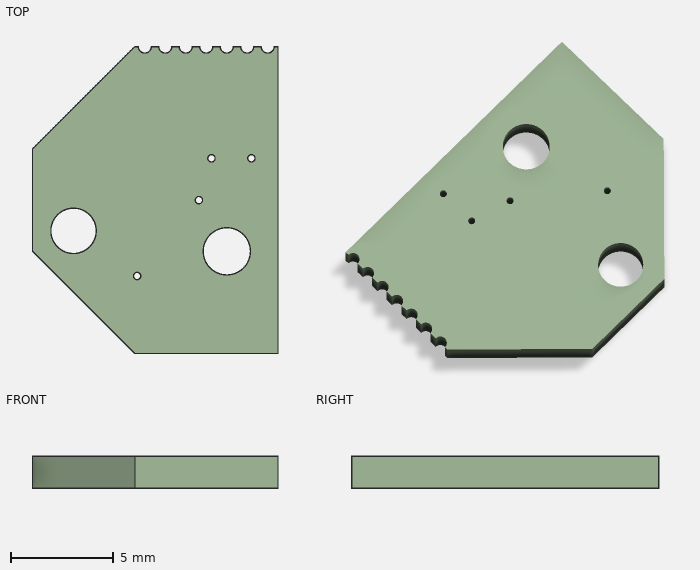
import cadquery as cq

width = 12.0
length = 15.0
thickness = 1.58
corner_cut = length / 3

notch_diameter = 0.63
notch_pitch = 3 / 3
notch_count = 7
last_notch_inset = 0.51

large_hole_diameter = 2.3
large_hole_centre = (9.5, length / 3)
medium_hole_diameter = 2.2
medium_hole_centre = (2.01, 6.0)
pin_hole_diameter = 0.35
pin_hole_centres = [(5.12, 3.8), (8.13, 7.5), (8.75, 9.54), (10.7, 9.54)]


def drill(body, centres, diameter):
    """Cut vertical round holes through the full thickness."""
    cutters = (
        cq.Workplane("XY")
        .pushPoints(centres)
        .circle(diameter / 2)
        .extrude(thickness)
    )
    return body.cut(cutters)


outline = [
    (corner_cut, 0),
    (width, 0),
    (width, length),
    (corner_cut, length),
    (0, length - corner_cut),
    (0, corner_cut),
]
plate = cq.Workplane("XY").polyline(outline).close().extrude(thickness)

notch_centres = [
    (width - last_notch_inset - i * notch_pitch, length) for i in range(notch_count)
]
plate = drill(plate, notch_centres, notch_diameter)

plate = drill(plate, [large_hole_centre], large_hole_diameter)
plate = drill(plate, [medium_hole_centre], medium_hole_diameter)
plate = drill(plate, pin_hole_centres, pin_hole_diameter)

result = plate